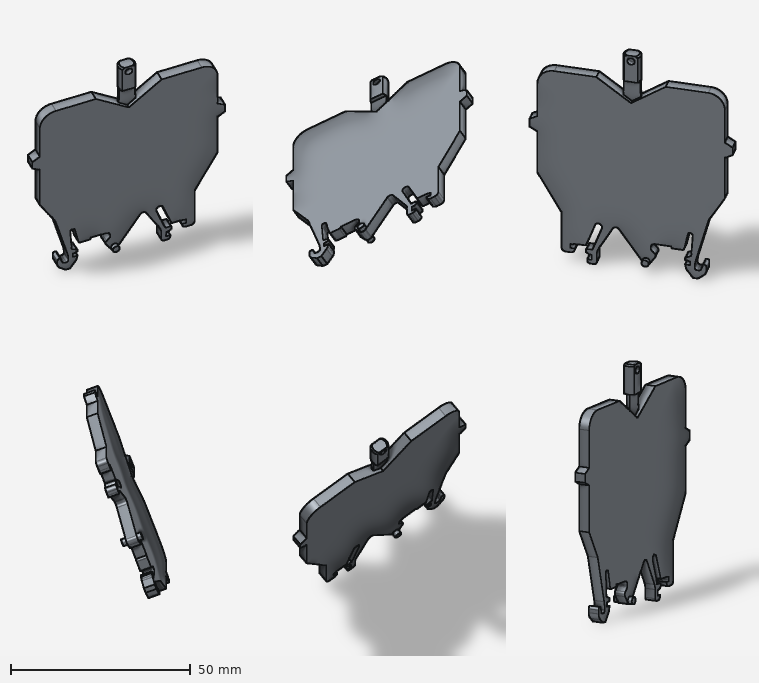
import cadquery as cq
import math

PLATE_THICKNESS = 3.2
HALF_WIDTH = 26.95
SHOULDER_Z = 61.65
SHOULDER_RADIUS = 4.85
V_HALF_WIDTH = 10.0
V_BOTTOM_Z = 54.7
WAIST_Z = 27.6

EAR_TIP_Y = 29.2
EAR_Z = 43.5
EAR_ROOT_HALF_HEIGHT = 2.5
EAR_TIP_HALF_HEIGHT = 1.25

PIN_Y = -4.35
PIN_Z = 3.45
PIN_RADIUS = 1.05
PIN_LENGTH = 5.8

TOP_Z = 70.2
HEAD_RADIUS = 2.5
HEAD_CHAMFER = 0.5
NECK_WIDTH = 4.85
NECK_THICKNESS = 1.0
COLLAR_WIDTH = 5.05
COLLAR_TOP_Z = 57.8
TONGUE_EMBEDMENT = 1.4
TONGUE_ROOT_Z = V_BOTTOM_Z - TONGUE_EMBEDMENT
EYE_RADIUS = 1.05
EYE_Z = 68.4

SLOT_TILT = math.radians(20)
SLOT_RADIUS = 1.05
SLOT_CENTER_Y = 9.4
SLOT_CENTER_Z = 12.5
FOOT_TOP_Z = 5.75
CLIP_TOP_Z = 4.7


def slot_wall_point(side, z):
    """Point at height z on a wall of the tilted slot; side is +1 (+Y wall) or -1."""
    wall_y = SLOT_CENTER_Y + side * SLOT_RADIUS / math.cos(SLOT_TILT)
    return wall_y + (SLOT_CENTER_Z - z) * math.tan(SLOT_TILT), z


def slot_end_corner(side):
    """Corner of the slot's square end, before it is rounded to a half circle."""
    along_y, along_z = -math.sin(SLOT_TILT), math.cos(SLOT_TILT)
    y = SLOT_CENTER_Y + SLOT_RADIUS * (along_y + side * along_z)
    z = SLOT_CENTER_Z + SLOT_RADIUS * (along_z - side * along_y)
    return y, z


def upper_half(side):
    """Corners of one upper side, from the V outwards and down to the waist."""
    return [
        (side * V_HALF_WIDTH, SHOULDER_Z, 0),
        (side * HALF_WIDTH, SHOULDER_Z, SHOULDER_RADIUS),
        (side * HALF_WIDTH, EAR_Z + EAR_ROOT_HALF_HEIGHT, 0),
        (side * EAR_TIP_Y, EAR_Z + EAR_TIP_HALF_HEIGHT, 0),
        (side * EAR_TIP_Y, EAR_Z - EAR_TIP_HALF_HEIGHT, 0),
        (side * HALF_WIDTH, EAR_Z - EAR_ROOT_HALF_HEIGHT, 0),
        (side * HALF_WIDTH, WAIST_Z, 0),
    ]


FOOT = [
    (20.0, 15.6, 0),
    (20.0, 2.8, 1.25),
    (16.15, 2.8, 1.25),
    (16.15, 4.3, 0),
    (17.5, 4.3, 0.3),
    (17.5, 5.5, 0.3),
    (16.3, FOOT_TOP_Z, 0),
    (*slot_wall_point(1, FOOT_TOP_Z), 0.3),
]

SLOT_END = [
    (*slot_end_corner(1), SLOT_RADIUS),
    (*slot_end_corner(-1), SLOT_RADIUS),
]

CLIP = [
    (*slot_wall_point(-1, CLIP_TOP_Z), 0),
    (13.0, CLIP_TOP_Z, 0.4),
    (13.0, 3.65, 0.2),
    (12.15, 3.0, 0.2),
    (11.3, 3.0, 0.3),
    (11.3, 1.3, 0.3),
    (12.65, 1.3, 0),
    (12.65, 0.0, 1.05),
    (9.8, 0.0, 0.9),
    (9.8, 4.35, 3.15),
]

MIDDLE_FOOT = [
    (4.4, 14.05, 1.05),
    (-4.5, 1.4, 1.1),
    (-7.4, 5.75, 1.05),
    (-5.6, 7.5, 0.2),
    (-5.6, 9.4, 1.4),
    (-11.5, 9.4, 0),
    (-11.65, 8.8, 0.5),
    (-15.15, 8.8, 0.55),
]

HOOK = [
    (-16.4, 14.7, 0.7),
    (-17.75, 14.7, 0.7),
    (-17.3, 7.2, 0.3),
    (-15.5, 6.3, 0.35),
    (-15.5, 5.6, 0.2),
    (-17.0, 5.4, 0.2),
    (-17.0, 4.15, 0.3),
    (-15.5, 4.15, 0),
    (-15.9, 2.7, 2.1),
    (-17.8, 0.1, 0),
    (-19.2, 0.1, 0),
    (-21.7, 2.1, 2.3),
    (-21.7, 5.0, 0.7),
    (-20.65, 5.0, 0.3),
    (-20.0, 2.8, 0.8),
    (-18.3, 2.8, 0.7),
    (-18.3, 4.9, 9.1),
    (-22.2, 19.45, 0),
]


COINCIDENT = 7.02e-07


def rounded_outline(corners):
    """Closed wire in the YZ plane through the corners, each with its own radius."""
    rounded = []
    for i, (y, z, radius) in enumerate(corners):
        here = cq.Vector(0, y, z)
        before = cq.Vector(0, *corners[i - 1][:2])
        after = cq.Vector(0, *corners[(i + 1) % len(corners)][:2])
        to_before = (before - here).normalized()
        to_after = (after - here).normalized()
        half_angle = to_before.getAngle(to_after) / 2
        setback = radius / math.tan(half_angle)
        bulge = radius / math.sin(half_angle) - radius
        middle = here + (to_before + to_after).normalized() * bulge
        rounded.append((here + to_before * setback, middle, here + to_after * setback, radius))

    edges = []
    for i, (start, middle, end, radius) in enumerate(rounded):
        previous_end = rounded[i - 1][2]
        if (start - previous_end).Length > COINCIDENT:
            edges.append(cq.Edge.makeLine(previous_end, start))
        if radius > 0:
            edges.append(cq.Edge.makeThreePointArc(start, middle, end))
    return cq.Wire.assembleEdges(edges)


def make_plate():
    corners = [(0, V_BOTTOM_Z, 0)]
    corners += upper_half(1)
    corners += FOOT + SLOT_END + CLIP + MIDDLE_FOOT + HOOK
    corners += reversed(upper_half(-1))
    outline = rounded_outline(corners)
    plate = cq.Solid.extrudeLinear(outline, [], cq.Vector(PLATE_THICKNESS, 0, 0))
    return cq.Workplane(plate).translate((-PLATE_THICKNESS / 2, 0, 0))


def make_pin():
    pin = cq.Workplane("YZ").center(PIN_Y, PIN_Z).circle(PIN_RADIUS)
    return pin.extrude(PIN_LENGTH / 2, both=True)


def block(thickness, width, bottom, top):
    """Box centred on the Z axis between two heights."""
    box = cq.Workplane("XY").workplane(offset=bottom)
    return box.rect(thickness, width).extrude(top - bottom)


def make_tongue():
    head = cq.Workplane("XY").workplane(offset=SHOULDER_Z).circle(HEAD_RADIUS)
    head = head.extrude(TOP_Z - SHOULDER_Z).faces(">Z").chamfer(HEAD_CHAMFER)
    head = head.intersect(block(PLATE_THICKNESS, 2 * HEAD_RADIUS, SHOULDER_Z, TOP_Z))
    eye = cq.Workplane("YZ").center(0, EYE_Z).circle(EYE_RADIUS)
    head = head.cut(eye.extrude(PLATE_THICKNESS, both=True))

    neck = block(NECK_THICKNESS, NECK_WIDTH, TONGUE_ROOT_Z, SHOULDER_Z)
    collar = block(NECK_THICKNESS, COLLAR_WIDTH, TONGUE_ROOT_Z, COLLAR_TOP_Z)
    return head.union(neck).union(collar)


result = make_plate().union(make_pin()).union(make_tongue())